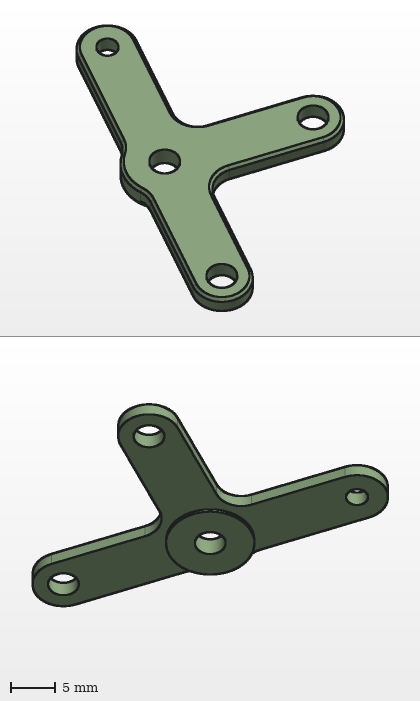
import cadquery as cq

span = 43.0
arm_width = 7.0
plate_thickness = 2.0
hub_diameter = 10.0
boss_height = 0.4
inner_radius = 3.0
top_chamfer = 0.4
large_hole = 3.5
small_hole = 2.5

reach = (span - arm_width) / 2
tips = {"left": (-reach, 0), "right": (reach, 0), "back": (0, reach)}


def disc(center, diameter, height):
    return cq.Workplane("XY").center(*center).circle(diameter / 2).extrude(height)


def arm(tip):
    """Straight bar from the hub centre, rounded at its tip."""
    x, y = tip
    bar = (
        cq.Workplane("XY")
        .center(x / 2, y / 2)
        .rect(max(abs(x), arm_width), max(abs(y), arm_width))
        .extrude(plate_thickness)
    )
    return bar.union(disc(tip, arm_width, plate_thickness))


def blend_corners(body, y):
    """Round the pair of vertical concave edges around the hub near the line at y."""
    half_width = hub_diameter / 2
    margin = 0.05
    corner_zone = cq.selectors.BoxSelector(
        (-half_width, y - margin, 0),
        (half_width, y + margin, plate_thickness),
    )
    return body.edges("|Z").edges(corner_zone).fillet(inner_radius)


plate = arm(tips["left"]).union(arm(tips["right"])).union(arm(tips["back"])).clean()
plate = blend_corners(plate, arm_width / 2)
plate = plate.union(disc((0, 0), hub_diameter, plate_thickness)).clean()
plate = blend_corners(plate, -arm_width / 2)
plate = plate.faces(">Z").chamfer(top_chamfer)

result = plate.union(disc((0, 0), hub_diameter, -boss_height))

hole_depth = plate_thickness + boss_height
holes = [
    ((0, 0), large_hole),
    (tips["left"], small_hole),
    (tips["right"], large_hole),
    (tips["back"], large_hole),
]
for center, diameter in holes:
    cutter = disc(center, diameter, hole_depth).translate((0, 0, -boss_height))
    result = result.cut(cutter)